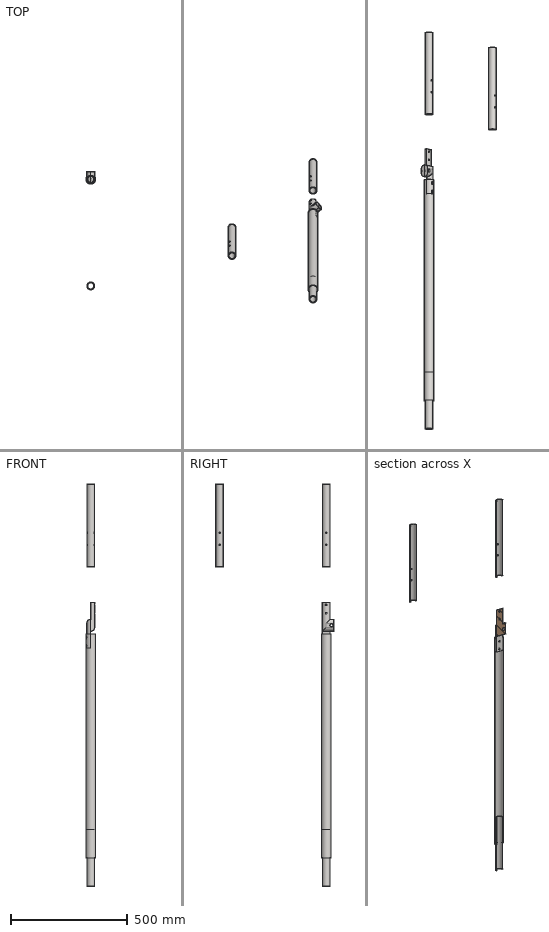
import cadquery as cq

main_inner_diameter = 36.0
main_wall = 3.0
main_outer_diameter = main_inner_diameter + 2 * main_wall
bar_diameter = 35.0
bar_radius = bar_diameter / 2
small_clearance = 2.6
small_wall = 3.8
small_outer_diameter = main_inner_diameter - small_clearance
small_inner_diameter = small_outer_diameter - 2 * small_wall

main_tube_length = 964.0
leg_exposed = 123.0
leg_length = 2 * leg_exposed

overall_height = 1730.0
sleeve_length = 357.0
sleeve_bottom = overall_height - sleeve_length
second_sleeve_y = -459.0
sleeve_hole_diameter = 5.0
sleeve_hole_heights = (95.0, 147.0)

joint_center_z = 1123.0
joint_bar_reach = 99.0
lug_reach = 33.0
lug_height = 52.0
hinge_hole_diameter = 12.6
hinge_hole_y = 22.0
bolt_hole_diameter = 6.4
bolt_hole_offsets = (52.0, 88.0)
tube_bolt_hole_diameter = 12.6


def tube(outer_diameter, inner_diameter, length):
    """Plain tube standing on the XY plane."""
    return cq.Workplane("XY").circle(outer_diameter / 2).circle(inner_diameter / 2).extrude(length)


def cross_holes(diameter, y, heights, end_x=main_outer_diameter):
    """Cutters along X, running from beyond the -X side of any of the bodies to end_x."""
    start_x = -main_outer_diameter
    points = [(y, z) for z in heights]
    holes = cq.Workplane("YZ", origin=(start_x, 0, 0)).pushPoints(points)
    return holes.circle(diameter / 2).extrude(end_x - start_x)


def make_sleeve(y):
    """Loose sleeve with two holes through both walls."""
    sleeve = tube(small_outer_diameter, small_inner_diameter, sleeve_length)
    sleeve = sleeve.cut(cross_holes(sleeve_hole_diameter, 0, sleeve_hole_heights))
    return sleeve.translate((0, y, sleeve_bottom))


def make_main_tube():
    """Main tube with bolt holes through its -X wall only."""
    body = tube(main_outer_diameter, main_inner_diameter, main_tube_length)
    body = body.translate((0, 0, leg_exposed))
    heights = [joint_center_z - offset for offset in bolt_hole_offsets]
    return body.cut(cross_holes(tube_bolt_hole_diameter, 0, heights, end_x=0))


def half_stadium(bottom):
    """Outline in the XZ plane, on the -X side: both ends rounded by quarter circles."""
    top = lug_height / 2
    diagonal = bar_radius * 0.5**0.5
    upper_center = top - bar_radius
    lower_center = bottom + bar_radius
    return (
        cq.Workplane("XZ")
        .moveTo(0, top)
        .threePointArc((-diagonal, upper_center + diagonal), (-bar_radius, upper_center))
        .lineTo(-bar_radius, lower_center)
        .threePointArc((-diagonal, lower_center - diagonal), (0, bottom))
        .close()
    )


def make_joint_half():
    """Lower joint half, on the -X side, with the joint centre at the origin."""
    half_lug = lug_height / 2

    rod_length = joint_bar_reach + half_lug
    rod = cq.Workplane("XY", origin=(0, 0, -joint_bar_reach)).circle(bar_radius).extrude(rod_length)
    rounding = half_stadium(-joint_bar_reach - bar_radius).extrude(bar_radius, both=True)
    bar = rod.intersect(rounding)

    lug = half_stadium(-half_lug).extrude(-lug_reach)

    half = bar.union(lug)
    half = half.cut(cross_holes(hinge_hole_diameter, hinge_hole_y, [0]))
    return half.cut(cross_holes(bolt_hole_diameter, 0, [-offset for offset in bolt_hole_offsets]))


def place_joint_half(turn):
    """Joint half turned about the Y axis by the given degrees and set at the joint centre."""
    half = make_joint_half().rotate((0, 0, 0), (0, 1, 0), turn)
    return half.translate((0, 0, joint_center_z))


main_tube = make_main_tube()
leg = tube(small_outer_diameter, small_inner_diameter, leg_length)
joint_halves = [place_joint_half(turn) for turn in (0, 180)]
sleeves = [make_sleeve(y) for y in (0, second_sleeve_y)]

result = cq.Compound.makeCompound(
    [
        main_tube.val(),
        leg.val(),
        *[half.val() for half in joint_halves],
        *[sleeve.val() for sleeve in sleeves],
    ]
)